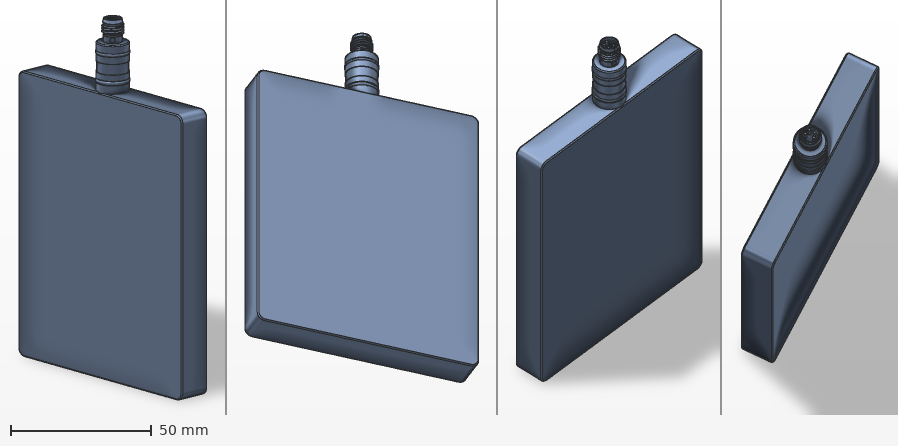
import cadquery as cq
import math

housing_width = 85.0
housing_thickness = 12.5
housing_height = 105.1
corner_radius = 3.0
edge_chamfer = 0.46

total_height = 131.5
barrel_diameter = 12.0
grip_diameter = 11.5
bead_diameter = 12.4
bead_root_diameter = 10.9
barrel_top_diameter = 11.0
lower_bead_bottom = 108.1
lower_bead_top = 109.7
grip_bottom = 112.0
grip_top = 116.0
upper_bead_bottom = 118.6
upper_bead_top = 119.8
barrel_chamfer_height = 0.4
barrel_top = 123.0

nose_diameter = 6.8
nose_top = 125.3
relief_diameter = 6.5
collar_bottom = 130.0
collar_bottom_diameter = 7.2
collar_top_diameter = 6.6

thread_root_diameter = 6.8
thread_crest_diameter = 8.0
thread_pitch = 1.0
thread_bottom = 126.1
thread_top = 129.3
thread_root_width = 0.9 * thread_pitch
thread_overlap = 0.1
thread_run_in = 1.0
thread_start = thread_bottom - thread_run_in
thread_sweep_height = thread_top - thread_start + thread_pitch

dimple_diameter = 2.0
dimple_count = 3
dimple_first_angle = 75.0
dimple_height = 124.1
dimple_floor_radius = 3.0

socket_diameter = 5.8
socket_floor = 126.5
keyway_width = 1.5
keyway_reach = 3.09

pin_diameter = 1.0
pin_top = 131.0
pin_circle_radius = 1.75
pin_positions = 5
pin_angles = [360 / pin_positions * step for step in (-1.5, -0.5, 0.5, 1.5)]


def make_housing():
    """Rounded slab with chamfered front and back edges."""
    slab = (
        cq.Workplane("XY")
        .box(housing_width, housing_thickness, housing_height, centered=(True, True, False))
        .edges("|Y")
        .fillet(corner_radius)
    )
    return slab.faces("<Y or >Y").edges().chamfer(edge_chamfer)


def add_bead(profile, bottom, top):
    """Continue the barrel's profile, going up, round a bead that stands in a shallow groove."""
    barrel_radius = barrel_diameter / 2
    root_radius = bead_root_diameter / 2
    return (
        profile.lineTo(barrel_radius, bottom)
        .lineTo(root_radius, bottom)
        .threePointArc((bead_diameter / 2, (bottom + top) / 2), (root_radius, top))
        .lineTo(barrel_radius, top)
    )


def make_barrel():
    """Turned barrel with two round beads and a slimmer grip zone between them."""
    barrel_radius = barrel_diameter / 2
    grip_radius = grip_diameter / 2
    foot = housing_height - edge_chamfer
    profile = cq.Workplane("XZ").moveTo(0, foot).lineTo(barrel_radius, foot)
    profile = add_bead(profile, lower_bead_bottom, lower_bead_top)
    profile = (
        profile.lineTo(barrel_radius, grip_bottom)
        .lineTo(grip_radius, grip_bottom)
        .lineTo(grip_radius, grip_top)
        .lineTo(barrel_radius, grip_top)
    )
    profile = add_bead(profile, upper_bead_bottom, upper_bead_top)
    profile = (
        profile.lineTo(barrel_radius, barrel_top - barrel_chamfer_height)
        .lineTo(barrel_top_diameter / 2, barrel_top)
        .lineTo(0, barrel_top)
        .close()
    )
    return profile.revolve(360, (0, 0, 0), (0, 1, 0))


def make_nose():
    """Turned nose with a slim neck for the thread and a tapered collar at the tip."""
    return (
        cq.Workplane("XZ")
        .moveTo(0, barrel_top)
        .lineTo(nose_diameter / 2, barrel_top)
        .lineTo(nose_diameter / 2, nose_top)
        .lineTo(relief_diameter / 2, nose_top)
        .lineTo(relief_diameter / 2, collar_bottom)
        .lineTo(collar_bottom_diameter / 2, collar_bottom)
        .lineTo(collar_top_diameter / 2, total_height)
        .lineTo(0, total_height)
        .close()
        .revolve(360, (0, 0, 0), (0, 1, 0))
    )


def make_thread():
    """Threaded stretch of the nose: a right-hand helical ridge on a core, flat at both ends."""
    inner_radius = thread_root_diameter / 2 - thread_overlap
    path = cq.Wire.makeHelix(thread_pitch, thread_sweep_height, inner_radius, center=cq.Vector(0, 0, thread_start))
    ridge = (
        cq.Workplane("XZ")
        .moveTo(inner_radius, thread_start - thread_root_width / 2)
        .lineTo(thread_crest_diameter / 2, thread_start)
        .lineTo(inner_radius, thread_start + thread_root_width / 2)
        .close()
        .sweep(cq.Workplane(path), isFrenet=True)
    )
    limits = (
        cq.Workplane("XY", origin=(0, 0, thread_bottom))
        .circle(thread_crest_diameter)
        .extrude(thread_top - thread_bottom)
    )
    core = (
        cq.Workplane("XY", origin=(0, 0, thread_start - thread_pitch))
        .circle(thread_root_diameter / 2)
        .extrude(thread_sweep_height + 2 * thread_pitch)
    )
    return core.union(ridge).intersect(limits)


def make_dimples():
    """Cutters for the flat-bottomed dimples, spaced equally round the nose."""
    cutters = cq.Workplane("XY")
    for index in range(dimple_count):
        angle = dimple_first_angle + index * 360 / dimple_count
        cutter = (
            cq.Workplane("YZ", origin=(dimple_floor_radius, 0, dimple_height))
            .circle(dimple_diameter / 2)
            .extrude(nose_diameter / 2)
            .rotate((0, 0, 0), (0, 0, 1), angle)
        )
        cutters = cutters.add(cutter)
    return cutters.combine()


def make_socket():
    """Cutter for the round socket and the keyway in its +Y wall."""
    depth = total_height - socket_floor
    base = cq.Workplane("XY", origin=(0, 0, socket_floor))
    bore = base.circle(socket_diameter / 2).extrude(depth)
    keyway = base.center(0, keyway_reach / 2).rect(keyway_width, keyway_reach).extrude(depth)
    return bore.union(keyway)


def make_pin(angle):
    """Contact pin that stands on the socket floor."""
    x = pin_circle_radius * math.cos(math.radians(angle))
    y = pin_circle_radius * math.sin(math.radians(angle))
    return (
        cq.Workplane("XY", origin=(x, y, socket_floor))
        .circle(pin_diameter / 2)
        .extrude(pin_top - socket_floor)
    )


housing = make_housing().union(make_barrel()).union(make_nose())
housing = housing.union(make_thread())
housing = housing.cut(make_dimples()).cut(make_socket())

pins = [make_pin(angle) for angle in pin_angles]

result = cq.Compound.makeCompound([housing.val(), *[pin.val() for pin in pins]])